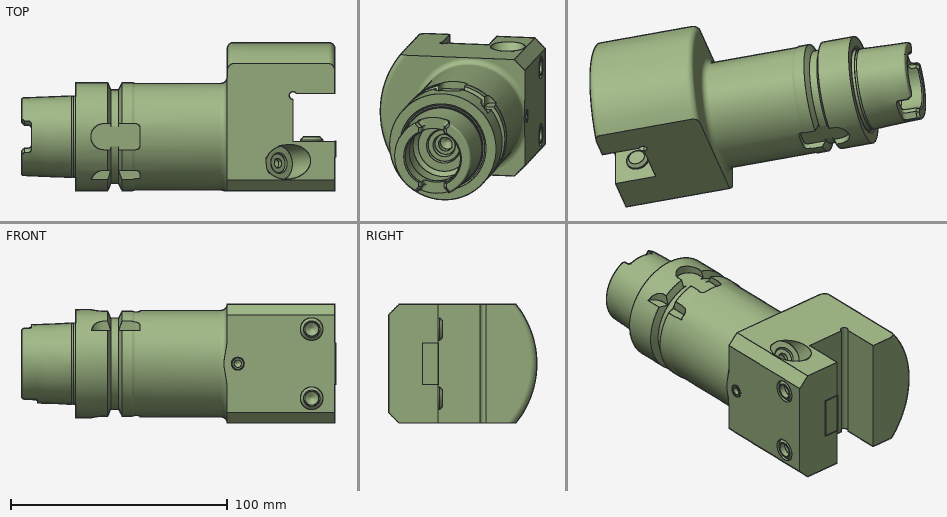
import cadquery as cq
import math


shank_length = 25.0
taper_length = 22.9
taper_end_radius = 18.8
taper_nose_radius = 18.0
nose_round = 0.9
relief_radius = 18.5
collar_start = 23.9
face_groove_depth = 0.6
face_groove_floor_radius = 19.6
face_groove_radius = 20.3

flange_radius = 50.0 / 2
groove_radius = 43.4 / 2
groove_start = 39.7
groove_end = 46.4
groove_floor_start = 41.2
groove_floor_end = 44.7
ring_end = 51.0
body_start = 52.2

body_radius = 24.6
block_start = 94.8
neck_fillet = 2.9

block_end = 144.5
block_half_height = 55.0 / 2
block_front = flange_radius
block_back_radius = 43.5
block_chamfer = 5.0
back_edge_fillet = 2.9

seat_floor = 125.3
seat_front = -2.2
seat_back = 19.9
seat_relief_radius = 1.7
seat_relief_inset = 0.9

bore_radius = 26.0 / 2
bore_chamfer = 0.6
undercut_start = 10.5
undercut_radius = 13.9
undercut_end = 24.6
bore_depth = 26.7
bore_floor_radius = 11.9
tube_recess_diameter = 16.0
tube_recess_bottom_diameter = 15.0
tube_recess_depth = 1.5
tube_hole_diameter = 10.5
tube_hole_floor_diameter = 9.5
tube_hole_depth = 2.9
center_hole_diameter = 6.4
center_hole_depth = 4.4

drive_half_width = 5.2
drive_flare = 2.0
drive_flare_start = 13.9
drive_flare_end = 16.2
drive_floor_fillet = 1.5
drive_mouth_chamfer = 1.3
upper_drive_depth = 4.5
lower_drive_depth = 7.4

keyway_start = 31.9
keyway_end = 54.7
keyway_width = 12.0
keyway_floor = 21.2
keyway_corner = 2.0
notch_floor = 15.2
notch_wall = -15.5

clamp_x = 133.8
clamp_z = 16.0
clamp_diameter = 10.5
clamp_end_diameter = 7.5
clamp_end_chamfer = 1.5
clamp_socket_diameter = 6.4
clamp_socket_depth = 2.9
clamp_protrusion = 2.2

set_screw_x = 99.8
set_screw_diameter = 6.0
set_screw_end_diameter = 5.2
set_screw_end_chamfer = 0.6
set_screw_socket_diameter = 3.5
set_screw_socket_depth = 2.2

pocket_diameter = 16.0
pocket_x = 123.0
pocket_y = -11.6
pocket_tilt = 40.0
pocket_turn = 7.5
pocket_depth = 6.5
nozzle_rim_diameter = 9.5
nozzle_seat_diameter = 8.7
nozzle_rim_depth = 0.9
nozzle_hole_diameter = 4.4
nozzle_hole_depth = 2.9

pad_end = 145.0
pad_half_length = 9.5
pad_back = -1.9
pad_front = -9.4

cutter_reach = 87.0

drill_point_angle = 30.0


def frustum(plane, base_diameter, top_diameter, height):
    """Truncated cone standing on a plane."""
    cone = cq.Solid.makeCone(base_diameter / 2, top_diameter / 2, height, plane.origin, plane.zDir)
    return cq.Workplane(cone)


def drill(plane, diameter, depth):
    """Cutter of a drilled hole with a conical bottom, going along the plane normal."""
    radius = diameter / 2
    tip = depth + radius * math.tan(math.radians(drill_point_angle))
    outline = cq.Workplane("XZ").polyline([(0, 0), (radius, 0), (radius, depth), (0, tip)]).close()
    cutter = outline.revolve(360, (0, 0), (0, 1)).val()
    return cq.Workplane(cutter.moved(cq.Location(plane)))


def turned_body():
    """Shank, flange and cylindrical body, all round about the X axis."""
    outline = (
        cq.Workplane("XY")
        .moveTo(0, 0)
        .lineTo(0, taper_nose_radius - nose_round)
        .radiusArc((nose_round, taper_nose_radius), nose_round)
        .lineTo(taper_length, taper_end_radius)
        .lineTo(collar_start, relief_radius)
        .lineTo(collar_start, taper_end_radius)
        .lineTo(shank_length + face_groove_depth, taper_end_radius)
        .lineTo(shank_length + face_groove_depth, face_groove_floor_radius)
        .lineTo(shank_length, face_groove_radius)
        .lineTo(shank_length, flange_radius)
        .lineTo(groove_start, flange_radius)
        .lineTo(groove_floor_start, groove_radius)
        .lineTo(groove_floor_end, groove_radius)
        .lineTo(groove_end, flange_radius)
        .lineTo(ring_end, flange_radius)
        .lineTo(body_start, body_radius)
        .lineTo(block_start - neck_fillet, body_radius)
        .radiusArc((block_start, body_radius + neck_fillet), -neck_fillet)
        .lineTo(block_start, 0)
        .close()
    )
    turned = outline.revolve(360, (0, 0), (1, 0))
    envelope = cq.Workplane("XY", origin=(0, -block_front, 0)).box(
        block_start, cutter_reach, 2 * block_half_height, centered=(False, False, True)
    )
    return turned.intersect(envelope)


def block():
    """Block with chamfered front corners, a round back and an open tool seat."""
    length = block_end - block_start
    back = math.sqrt(block_back_radius**2 - block_half_height**2)
    side = block_half_height - block_chamfer
    solid = (
        cq.Workplane("YZ", origin=(block_start, 0, 0))
        .moveTo(-block_front, -side)
        .lineTo(-block_front + block_chamfer, -block_half_height)
        .lineTo(back, -block_half_height)
        .threePointArc((block_back_radius, 0), (back, block_half_height))
        .lineTo(-block_front + block_chamfer, block_half_height)
        .lineTo(-block_front, side)
        .close()
        .extrude(length)
    )
    solid = solid.edges("%CIRCLE").fillet(back_edge_fillet)
    seat = cq.Workplane("XY", origin=(seat_floor, seat_front, 0)).box(
        cutter_reach, seat_back - seat_front, cutter_reach, centered=(False, False, True)
    )
    relief = (
        cq.Workplane("XY", origin=(0, 0, -cutter_reach / 2))
        .center(seat_floor, seat_back - seat_relief_inset)
        .circle(seat_relief_radius)
        .extrude(cutter_reach)
    )
    return solid.cut(seat).cut(relief)


def shank_bore():
    """Stepped bore in the nose, with the tube recess and its center hole."""
    tube_recess_floor = bore_depth + tube_recess_depth
    tube_hole_floor = tube_recess_floor + tube_hole_depth
    outline = (
        cq.Workplane("XY")
        .moveTo(0, 0)
        .lineTo(0, bore_radius + bore_chamfer)
        .lineTo(bore_chamfer, bore_radius)
        .lineTo(undercut_start, bore_radius)
        .lineTo(undercut_start, undercut_radius)
        .lineTo(undercut_end, undercut_radius)
        .lineTo(bore_depth, bore_floor_radius)
        .lineTo(bore_depth, tube_recess_diameter / 2)
        .lineTo(tube_recess_floor, tube_recess_bottom_diameter / 2)
        .lineTo(tube_recess_floor, tube_hole_diameter / 2)
        .lineTo(tube_hole_floor, tube_hole_floor_diameter / 2)
        .lineTo(tube_hole_floor, 0)
        .close()
    )
    center_plane = cq.Plane(origin=(tube_hole_floor, 0, 0), xDir=(0, 1, 0), normal=(1, 0, 0))
    center_hole = drill(center_plane, center_hole_diameter, center_hole_depth)
    return outline.revolve(360, (0, 0), (1, 0)).union(center_hole)


def drive_slot(depth):
    """Slot through the +Z wall of the nose, flared towards the outside."""
    outer_half_width = drive_half_width + drive_flare

    def section(extra):
        return [
            (-drive_half_width - extra, 0),
            (-drive_half_width - extra, drive_flare_start),
            (-outer_half_width - extra, drive_flare_end),
            (-outer_half_width - extra, cutter_reach / 2),
            (outer_half_width + extra, cutter_reach / 2),
            (outer_half_width + extra, drive_flare_end),
            (drive_half_width + extra, drive_flare_start),
            (drive_half_width + extra, 0),
        ]

    slot = cq.Workplane("YZ").polyline(section(0)).close().extrude(depth)
    slot = slot.faces(">X").edges("not |Y").fillet(drive_floor_fillet)
    mouth = (
        cq.Workplane("YZ")
        .polyline(section(drive_mouth_chamfer))
        .close()
        .workplane(offset=drive_mouth_chamfer)
        .polyline(section(0))
        .close()
        .loft(ruled=True)
    )
    return slot.union(mouth)


def keyway_cutter(center_y, bottom_z):
    """Slot cutter along Z with a fully rounded -X end and small corner rounds at the +X end."""
    radius = keyway_width / 2
    length = keyway_end - keyway_start - radius
    round_center = (keyway_start + radius, center_y, bottom_z)
    head = cq.Workplane("XY", origin=round_center).circle(radius).extrude(cutter_reach)
    tail = (
        cq.Workplane("XY", origin=round_center)
        .rect(length, keyway_width)
        .extrude(cutter_reach)
        .translate((length / 2, 0, 0))
        .edges("|Z and >X")
        .fillet(keyway_corner)
    )
    return head.union(tail)


def clamp_screw(z):
    """Socket recess in the block front, and the screw point standing in the seat."""
    front_plane = cq.Plane(origin=(clamp_x, -block_front, z), xDir=(1, 0, 0), normal=(0, 1, 0))
    seat_plane = cq.Plane(origin=(clamp_x, seat_front, z), xDir=(1, 0, 0), normal=(0, 1, 0))
    recess = cq.Workplane(front_plane).circle(clamp_diameter / 2).extrude(clamp_end_chamfer)
    recess = recess.cut(frustum(front_plane, clamp_end_diameter, clamp_diameter, clamp_end_chamfer))
    recess = recess.union(drill(front_plane, clamp_socket_diameter, clamp_socket_depth))
    straight = clamp_protrusion - clamp_end_chamfer
    point = cq.Workplane(seat_plane).circle(clamp_diameter / 2).extrude(straight)
    tip = frustum(seat_plane, clamp_diameter, clamp_end_diameter, clamp_end_chamfer)
    point = point.union(tip.translate((0, straight, 0)))
    return recess, point


def set_screw_recess():
    """Annular chamfer and socket of the small set screw."""
    plane = cq.Plane(origin=(set_screw_x, -block_front, 0), xDir=(1, 0, 0), normal=(0, 1, 0))
    recess = cq.Workplane(plane).circle(set_screw_diameter / 2).extrude(set_screw_end_chamfer)
    recess = recess.cut(frustum(plane, set_screw_end_diameter, set_screw_diameter, set_screw_end_chamfer))
    return recess.union(drill(plane, set_screw_socket_diameter, set_screw_socket_depth))


def coolant_pocket():
    """Flat-bottomed inclined pocket with the nozzle rim and hole in its floor."""
    tilt = math.radians(pocket_tilt)
    turn = math.radians(pocket_turn)
    up = cq.Vector(math.sin(tilt) * math.cos(turn), math.sin(tilt) * math.sin(turn), math.cos(tilt))
    floor_center = cq.Vector(pocket_x, pocket_y, block_half_height) - up * pocket_depth
    side = cq.Vector(-math.sin(turn), math.cos(turn), 0)
    out_plane = cq.Plane(origin=floor_center, xDir=side, normal=up)
    in_plane = cq.Plane(origin=floor_center, xDir=side, normal=-up)
    pocket = cq.Workplane(out_plane).circle(pocket_diameter / 2).extrude(cutter_reach / 2)
    rim = frustum(in_plane, nozzle_rim_diameter, nozzle_seat_diameter, nozzle_rim_depth)
    return pocket.union(rim).union(drill(in_plane, nozzle_hole_diameter, nozzle_hole_depth))


def end_pad():
    """Thin rectangular pad on the +X face of the block."""
    return cq.Workplane("XY", origin=(block_end, pad_front, 0)).box(
        pad_end - block_end, pad_back - pad_front, 2 * pad_half_length, centered=(False, False, True)
    )


result = turned_body().union(block())

result = result.cut(shank_bore())
result = result.cut(drive_slot(upper_drive_depth))
result = result.cut(drive_slot(lower_drive_depth).rotate((0, 0, 0), (1, 0, 0), 180))

keyway = keyway_cutter(0, keyway_floor)
result = result.cut(keyway)
result = result.cut(keyway.rotate((0, 0, 0), (1, 0, 0), 180))
result = result.cut(keyway_cutter(notch_wall - keyway_width / 2, notch_floor))

for screw_z in (-clamp_z, clamp_z):
    screw_recess, screw_point = clamp_screw(screw_z)
    result = result.cut(screw_recess).union(screw_point)

result = result.cut(set_screw_recess())
result = result.cut(coolant_pocket())
result = result.union(end_pad())